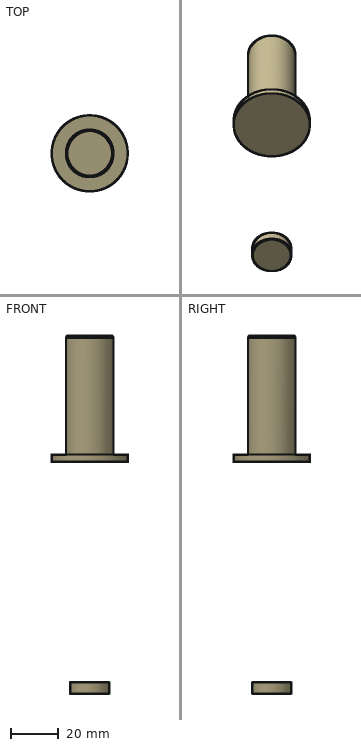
import cadquery as cq

total_height = 150.5

flange_diameter = 32.0
flange_thickness = 3.0
shank_diameter = 20.0
shank_length = 50.0
shank_chamfer_height = 1.0
shank_chamfer_inset = 0.6

disc_diameter = 16.5
disc_thickness = 5.1
disc_chamfer = 0.3

pin_base_z = total_height - shank_length - flange_thickness


def make_pin():
    """Flat round flange with a chamfered cylindrical shank standing on it."""
    flange = cq.Workplane("XY").circle(flange_diameter / 2).extrude(flange_thickness)
    shank = (
        cq.Workplane("XY", origin=(0, 0, flange_thickness))
        .circle(shank_diameter / 2)
        .extrude(shank_length)
        .faces(">Z")
        .edges()
        .chamfer(shank_chamfer_height, shank_chamfer_inset)
    )
    return flange.union(shank).translate((0, 0, pin_base_z))


def make_disc():
    """Round disc with both rims chamfered."""
    return (
        cq.Workplane("XY")
        .circle(disc_diameter / 2)
        .extrude(disc_thickness)
        .faces("<Z or >Z")
        .edges()
        .chamfer(disc_chamfer)
    )


pin = make_pin()
disc = make_disc()

result = cq.Compound.makeCompound([pin.val(), disc.val()])